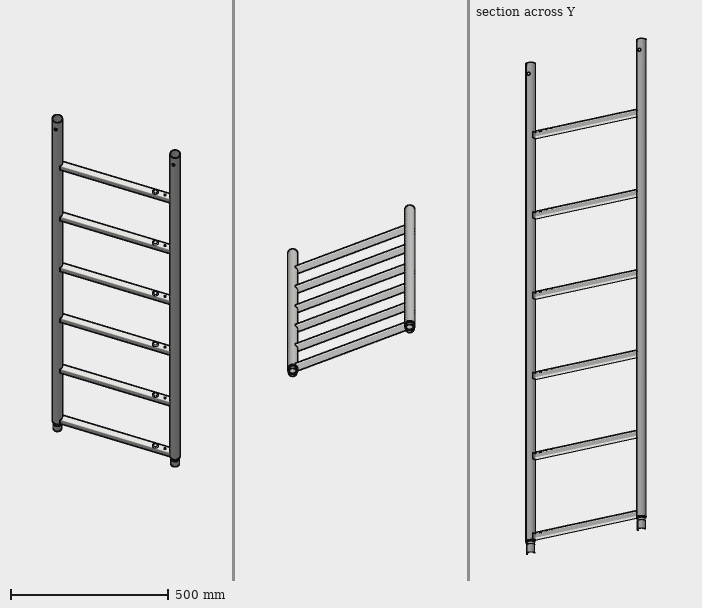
import cadquery as cq

height = 1706.0
overall_width = 433.0
rail_diameter = 34.0
rail_wall = 2.5
rail_bore = rail_diameter - 2 * rail_wall
rail_foot_chamfer_width = 2.0
rail_foot_chamfer_height = 5.0
rail_x = (overall_width - rail_diameter) / 2

spigot_length = 38.0
spigot_diameter = 29.0
spigot_wall = 2.5
spigot_bore = spigot_diameter - 2 * spigot_wall
shoulder_thickness = 5.0

neck_diameter = 27.0
neck_length = 9.0

lock_hole_diameter = 10.0
lock_hole_depth = 40.0

rung_size = 24.0
rung_wall = 2.0
rung_corner_radius = 3.0
rung_count = 6
rung_pitch = 280.0
first_rung_z = 55.0

button_x = 133.0
button_base_diameter = 20.0
button_top_diameter = 12.0
button_height = 2.0
rung_hole_x = 165.0
rung_hole_diameter = 7.0


def cylinder(diameter, bottom, length):
    return cq.Workplane("XY").workplane(offset=bottom).circle(diameter / 2).extrude(length)


def make_rail():
    tube = cylinder(rail_diameter, spigot_length, height - spigot_length)
    tube = tube.faces("<Z").edges().chamfer(rail_foot_chamfer_height, rail_foot_chamfer_width)
    tube = tube.cut(cylinder(rail_bore, spigot_length + shoulder_thickness, height))
    spigot = cylinder(spigot_diameter, 0, spigot_length - neck_length)
    neck = cylinder(neck_diameter, spigot_length - neck_length, neck_length)
    lock_hole = (
        cq.Workplane("XZ")
        .center(0, height - lock_hole_depth)
        .circle(lock_hole_diameter / 2)
        .extrude(rail_diameter)
    )
    rail = tube.union(spigot).union(neck)
    return rail.cut(cylinder(spigot_bore, 0, height)).cut(lock_hole)


def square_bar(size, corner_radius):
    bar = cq.Workplane("YZ").rect(size, size).extrude(rail_x, both=True)
    return bar.edges("|X").fillet(corner_radius)


def make_rung():
    inner_size = rung_size - 2 * rung_wall
    rung = square_bar(rung_size, rung_corner_radius)
    rung = rung.cut(square_bar(inner_size, rung_corner_radius - rung_wall))
    for side in (-1, 1):
        cope = cylinder(rail_diameter, -rung_size, 2 * rung_size)
        rung = rung.cut(cope.translate((side * rail_x, 0, 0)))
    top = rung_size / 2
    button = (
        cylinder(button_base_diameter, top - rung_wall, rung_wall + button_height)
        .faces(">Z")
        .edges()
        .chamfer(button_height, (button_base_diameter - button_top_diameter) / 2)
    )
    hole = cylinder(rung_hole_diameter, 0, rung_size)
    return rung.union(button.translate((button_x, 0, 0))).cut(hole.translate((rung_hole_x, 0, 0)))


rails = [make_rail().translate((side * rail_x, 0, 0)) for side in (-1, 1)]
rungs = [make_rung().translate((0, 0, first_rung_z + i * rung_pitch)) for i in range(rung_count)]

result = cq.Compound.makeCompound([body.val() for body in rails + rungs])